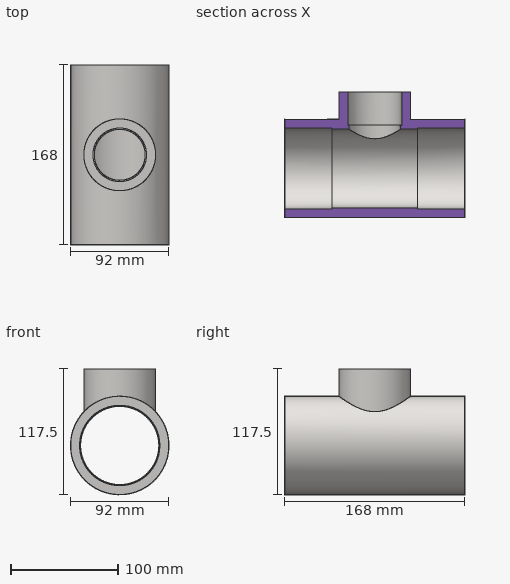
import cadquery as cq

run_length = 168.0
run_outer_diameter = 92.0
run_socket_diameter = 75.0
run_bore_diameter = 73.0
run_socket_depth = 44.0

branch_top_height = 71.5
branch_outer_diameter = 67.0
branch_socket_diameter = 50.0
branch_bore_diameter = 47.5
branch_socket_depth = 31.0


def run_cylinder(diameter, start_y, length):
    """Cylinder on the main pipe's axis, from start_y toward +Y."""
    base = cq.Workplane("XZ", origin=(0, start_y, 0))
    return base.circle(diameter / 2).extrude(-length)


def branch_cylinder(diameter, bottom_z):
    """Cylinder on the branch axis, from bottom_z up to the branch mouth."""
    base = cq.Workplane("XY", origin=(0, 0, bottom_z))
    return base.circle(diameter / 2).extrude(branch_top_height - bottom_z)


def tee_body():
    """Solid outside shape of the tee."""
    run = run_cylinder(run_outer_diameter, -run_length / 2, run_length)
    return run.union(branch_cylinder(branch_outer_diameter, 0))


def run_passage():
    """Through bore of the main pipe with a wider socket at each end."""
    passage = run_cylinder(run_bore_diameter, -run_length / 2, run_length)
    for start_y in (-run_length / 2, run_length / 2 - run_socket_depth):
        passage = passage.union(run_cylinder(run_socket_diameter, start_y, run_socket_depth))
    return passage


def branch_passage():
    """Branch bore down to the main bore, with a wider socket at its mouth."""
    bore = branch_cylinder(branch_bore_diameter, 0)
    socket = branch_cylinder(branch_socket_diameter, branch_top_height - branch_socket_depth)
    return bore.union(socket)


result = tee_body().cut(run_passage()).cut(branch_passage())